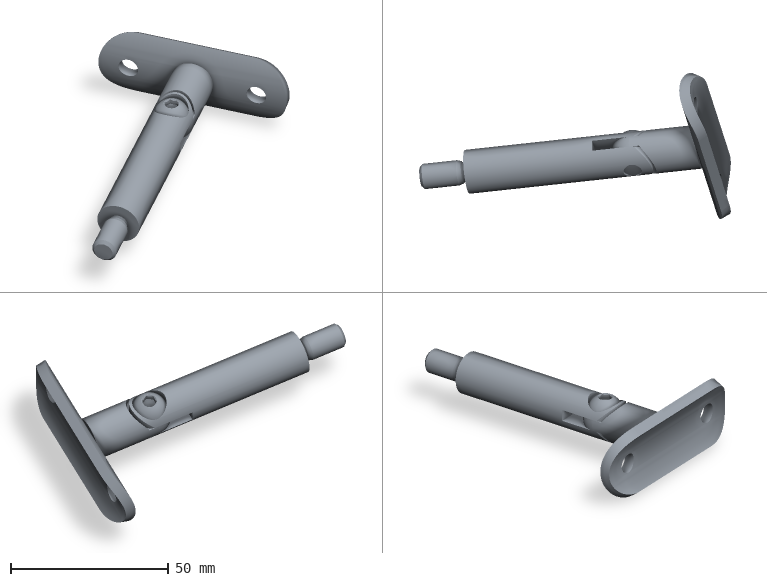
import cadquery as cq
import math


overall_length = 96.2

plate_length = 63.0
plate_height = 24.0
plate_inner_radius = 16.5
plate_thickness = 3.5
plate_outer_radius = plate_inner_radius + plate_thickness
plate_apex_y = 20.9
plate_axis_y = plate_apex_y + plate_outer_radius
plate_half_angle = math.asin(plate_height / 2 / plate_outer_radius)
plate_back_y = plate_axis_y - plate_inner_radius * math.cos(plate_half_angle)
plate_hole_diameter = 6.5
plate_hole_spacing = 42.9
end_curve_spans = 12

rod_radius = 7.0
neck_end_y = 21.45
shoulder_radius = 7.5
tongue_thickness = 3.8
slot_bottom_y = -11.9
fork_round_y = -0.6
fork_end_y = -53.6
fork_dish_depth = 0.3

screw_radius = 3.0
screw_head_radius = 5.5
screw_head_seat_z = 4.1
screw_head_top_z = 7.5
screw_flat_radius = 2.5
screw_tip_z = -6.25
socket_sides = 6
hex_across_corners = 4.6
socket_depth = 1.9
drill_tip_slope = math.radians(30)
socket_rim_radius = 2.4
socket_rim_depth = 0.5

stud_radius = 4.0
stud_groove_radius = 3.1
stud_tip_y = plate_back_y - overall_length
stud_chamfer = 1.0
stud_spigot_length = 9.6
groove_fillet_radius = 0.8
groove_fillet_start = 0.72
groove_fillet_angle = math.radians(70)
runout_end = 2.9


def cylinder_z(radius, bottom_z, top_z, center_y=0.0):
    """Upright cylinder between two heights."""
    return (
        cq.Workplane("XY", origin=(0, center_y, bottom_z)).circle(radius).extrude(top_z - bottom_z)
    )


def cylinder_y(radius, low_y, high_y, center_x=0.0):
    """Cylinder along Y between two positions."""
    return (
        cq.Workplane("XZ", origin=(center_x, high_y, 0)).circle(radius).extrude(high_y - low_y)
    )


def slab(low_y, high_y):
    """Flat slab as thick as the tongue and wider than the rods."""
    return (
        cq.Workplane("XY", origin=(0, low_y, 0))
        .box(4 * rod_radius, high_y - low_y, tongue_thickness, centered=(True, False, True))
    )


def plate_outline(distance):
    """Plate outline at a distance from its axis of curvature.

    The outline grows in height with the distance, as the plate's edges lie on radii of that axis.
    Each round end follows equal angles of bend for equal widths of the flat blank.
    """
    end_radius = plate_height / 2
    end_x = plate_length / 2 - end_radius
    end_points = []
    curve_steps = range(end_curve_spans + 1)
    for step in curve_steps:
        turn = math.pi * (step / end_curve_spans - 0.5)
        bend_angle = plate_half_angle * math.sin(turn)
        end_points.append((end_x + end_radius * math.cos(turn), distance * math.tan(bend_angle)))
    far_end_points = [(-x, -z) for x, z in end_points]
    return (
        cq.Workplane("XZ", origin=(0, plate_axis_y - distance, 0))
        .moveTo(*end_points[0])
        .spline(end_points[1:], parameters=curve_steps, includeCurrent=True)
        .lineTo(*far_end_points[0])
        .spline(far_end_points[1:], parameters=curve_steps, includeCurrent=True)
        .close()
        .val()
    )


def make_plate():
    """Curved plate whose straight and round edges point to its axis, with two screw holes."""
    tube = (
        cq.Workplane("YZ", origin=(-plate_length, plate_axis_y, 0))
        .circle(plate_outer_radius)
        .circle(plate_inner_radius)
        .extrude(2 * plate_length)
    )
    outlines = [plate_outline(plate_inner_radius / 2), plate_outline(2 * plate_outer_radius)]
    wedge = cq.Workplane("XY").add(cq.Solid.makeLoft(outlines, True))
    plate = tube.intersect(wedge)
    for side in (-1, 1):
        hole_x = side * plate_hole_spacing / 2
        plate = plate.cut(
            cylinder_y(plate_hole_diameter / 2, plate_apex_y, plate_axis_y, hole_x)
        )
    neck_seat = cylinder_y(rod_radius, plate_apex_y, neck_end_y)
    return plate.cut(neck_seat)


def make_neck():
    """Round rod with a ball end, cut down to a flat tongue around the screw."""
    rod = cylinder_y(rod_radius, 0, neck_end_y)
    rod = rod.union(cq.Workplane("XY").sphere(rod_radius))
    cheek_clearance = cylinder_z(shoulder_radius, -rod_radius, rod_radius).cut(
        slab(-shoulder_radius, shoulder_radius)
    )
    return rod.cut(cheek_clearance).cut(cylinder_z(screw_radius, -rod_radius, rod_radius))


def make_fork():
    """Round rod with a slotted, rounded end, a screw seat and a dished stud end."""
    rod = cylinder_y(rod_radius, fork_end_y, fork_round_y)
    round_end = cylinder_z(rod_radius, -rod_radius, rod_radius, fork_round_y).intersect(
        cylinder_y(rod_radius, fork_round_y, rod_radius)
    )
    dish = (
        cq.Workplane("XY")
        .polyline([(0, fork_end_y), (rod_radius, fork_end_y), (0, fork_end_y + fork_dish_depth)])
        .close()
        .revolve(360, (0, 0, 0), (0, 1, 0))
    )
    stud_hole = cylinder_y(stud_groove_radius, fork_end_y, fork_end_y + stud_spigot_length)
    return (
        rod.union(round_end)
        .cut(slab(slot_bottom_y, rod_radius))
        .cut(cylinder_z(screw_radius, -rod_radius, rod_radius))
        .cut(cylinder_z(screw_head_radius, screw_head_seat_z, rod_radius))
        .cut(dish)
        .cut(stud_hole)
    )


def make_screw():
    """Button-head screw with a hexagon socket."""
    dome_center_z = (
        screw_flat_radius**2 + screw_head_top_z**2 - screw_head_radius**2 - screw_head_seat_z**2
    ) / (2 * (screw_head_top_z - screw_head_seat_z))
    dome_radius = math.hypot(screw_head_radius, screw_head_seat_z - dome_center_z)
    middle_radius = (screw_flat_radius + screw_head_radius) / 2
    middle_z = dome_center_z + math.sqrt(dome_radius**2 - middle_radius**2)
    body = (
        cq.Workplane("XZ")
        .moveTo(0, screw_tip_z)
        .lineTo(screw_radius, screw_tip_z)
        .lineTo(screw_radius, screw_head_seat_z)
        .lineTo(screw_head_radius, screw_head_seat_z)
        .threePointArc((middle_radius, middle_z), (screw_flat_radius, screw_head_top_z))
        .lineTo(0, screw_head_top_z)
        .close()
        .revolve(360, (0, 0, 0), (0, 1, 0))
    )
    socket = (
        cq.Workplane("XY", origin=(0, 0, screw_head_top_z))
        .polygon(socket_sides, hex_across_corners)
        .extrude(-socket_depth)
    )
    drill_radius = hex_across_corners / 2 * math.cos(math.pi / socket_sides)
    socket_floor_z = screw_head_top_z - socket_depth
    drill_tip = cq.Workplane("XY").add(
        cq.Solid.makeCone(
            drill_radius,
            0,
            drill_radius * math.tan(drill_tip_slope),
            cq.Vector(0, 0, socket_floor_z),
            cq.Vector(0, 0, -1),
        )
    )
    rim = cq.Workplane("XY").add(
        cq.Solid.makeCone(
            socket_rim_radius,
            drill_radius,
            socket_rim_depth,
            cq.Vector(0, 0, screw_head_top_z),
            cq.Vector(0, 0, -1),
        )
    )
    return body.cut(socket).cut(drill_tip).cut(rim)


def make_stud():
    """Stud with a filleted relief groove at the rod, a tapered runout and a chamfered tip."""
    fillet_start_y = fork_end_y - groove_fillet_start

    def fillet_point(angle):
        return (
            stud_groove_radius + groove_fillet_radius * (1 - math.cos(angle)),
            fillet_start_y - groove_fillet_radius * math.sin(angle),
        )

    spigot_end_y = fork_end_y + stud_spigot_length
    return (
        cq.Workplane("XY")
        .moveTo(0, spigot_end_y)
        .lineTo(stud_groove_radius, spigot_end_y)
        .lineTo(stud_groove_radius, fillet_start_y)
        .threePointArc(fillet_point(groove_fillet_angle / 2), fillet_point(groove_fillet_angle))
        .lineTo(stud_radius, fork_end_y - runout_end)
        .lineTo(stud_radius, stud_tip_y + stud_chamfer)
        .lineTo(stud_radius - stud_chamfer, stud_tip_y)
        .lineTo(0, stud_tip_y)
        .close()
        .revolve(360, (0, 0, 0), (0, 1, 0))
    )


plate = make_plate()
neck = make_neck()
fork = make_fork()
screw = make_screw()
stud = make_stud()

result = cq.Compound.makeCompound([plate.val(), neck.val(), fork.val(), screw.val(), stud.val()])